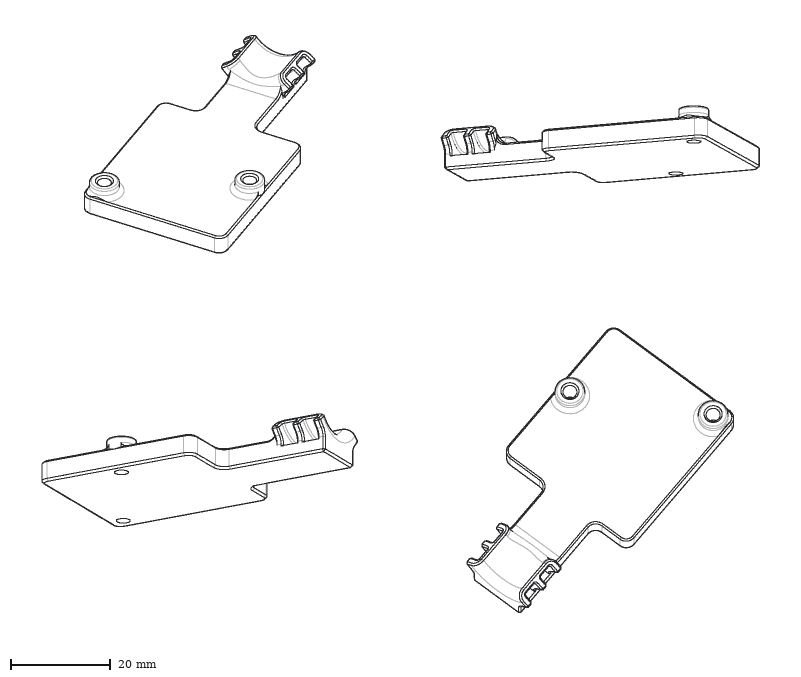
import cadquery as cq
import math

plate_width = 32.2
plate_length = 35.5
total_length = 59.5
plate_thickness = 4.4
corner_radius = 2.0
neck_width = 12.0
neck_center_x = -1.4
top_chamfer = 0.35
bottom_chamfer = 0.5

boss_places = [(3.5, 3.5), (29.15, 17.5)]
boss_diameter = 6.0
boss_top = 6.8
boss_top_fillet = 0.35
boss_flare = 0.95
hole_diameter = 2.8
hole_chamfer = 0.4

saddle_axis_z = 12.15
saddle_radius = 6.25
mouth_fillet = 2.0
arm_angle = 37.0
arm_face_rise = 0.25
rib_radius = 10.0
rib_width = 1.6
rib_foot_fillet = 2.25
arm_chamfer = 0.35
foot_fillet = 2.0
foot_overlap = 0.6
strap_gap = 3.2
strap_wall = 1.3
strap_floor = 2.75
strap_slot_fillet = 0.35

left = -plate_width / 2
front = -total_length / 2
back = total_length / 2
plate_back = front + plate_length
neck_left = neck_center_x - neck_width / 2
slot_count = 2
slot_pitch = rib_width + strap_gap
saddle_length = slot_count * slot_pitch + rib_width
saddle_front = back - saddle_length
strap_radius = saddle_radius + strap_wall
half_span = 2 * rib_radius
tolerance = 0.005


def block(x, y, z, width, length, height):
    """Box with its lowest corner at x, y, z."""
    return cq.Workplane("XY", origin=(x, y, z)).box(width, length, height, centered=False)


def saddle_cylinder(radius, start_y, length):
    """Round bar around the saddle axis."""
    plane = cq.Workplane("XZ", origin=(neck_center_x, start_y, saddle_axis_z))
    return plane.circle(radius).extrude(-length)


def same(a, b):
    return abs(a - b) < tolerance


def pick_edges(solid, test):
    """All edges of a solid that pass a test."""
    return solid.newObject([edge for edge in solid.edges().vals() if test(edge)])


def is_arc_across(edge, radii):
    """True for an arc in an XZ plane with one of the given radii."""
    flat = edge.BoundingBox().ylen < tolerance
    return edge.geomType() == "CIRCLE" and flat and any(same(edge.radius(), r) for r in radii)


def stepped_bar(start_x, start_y, width, end_y, top):
    """Bar at plate height that curves up to a step at the front of the saddle."""
    arc_mid = foot_fillet * (1 - math.sqrt(0.5))
    return (
        cq.Workplane("YZ", origin=(start_x, 0, 0))
        .moveTo(start_y, 0)
        .lineTo(start_y, plate_thickness)
        .lineTo(saddle_front - foot_fillet, plate_thickness)
        .threePointArc(
            (saddle_front - arc_mid, plate_thickness + arc_mid),
            (saddle_front, plate_thickness + foot_fillet),
        )
        .lineTo(saddle_front, top)
        .lineTo(end_y, top)
        .lineTo(end_y, 0)
        .close()
        .extrude(width)
    )


def rounded_plate(inset, base_z, height):
    """Plate outline, moved inward by the inset."""
    width = plate_width - 2 * inset
    length = plate_length - 2 * inset
    plate = block(left + inset, front + inset, base_z, width, length, height)
    return plate.edges("|Z").fillet(corner_radius - inset)


def make_plate_and_neck():
    step_top = plate_thickness + foot_fillet + top_chamfer
    neck = stepped_bar(neck_left, plate_back - corner_radius, neck_width, saddle_front + foot_overlap, step_top)
    body = rounded_plate(0, 0, plate_thickness).union(neck)

    def is_inner_corner(edge):
        center = edge.Center()
        on_neck_side = same(abs(center.x - neck_center_x), neck_width / 2)
        return on_neck_side and same(center.y, plate_back) and edge.BoundingBox().zlen > tolerance

    body = pick_edges(body, is_inner_corner).fillet(corner_radius)

    def is_top_rim(edge):
        center = edge.Center()
        on_top = same(center.z, plate_thickness) and center.y < saddle_front - foot_fillet - tolerance
        on_step = edge.geomType() == "CIRCLE" and edge.BoundingBox().xlen < tolerance
        return on_top or on_step

    return pick_edges(body, is_top_rim).chamfer(top_chamfer)


def make_strap_slot():
    """Slot for one strap, wrapped under the trough with a flat floor."""
    slot = saddle_cylinder(half_span, 0, strap_gap).cut(saddle_cylinder(strap_radius, 0, strap_gap))
    above_floor = block(neck_center_x - half_span, 0, strap_floor, 2 * half_span, strap_gap, 2 * half_span)
    slot = slot.intersect(above_floor)
    roof_edges = pick_edges(slot, lambda edge: is_arc_across(edge, [strap_radius]))
    return roof_edges.fillet(strap_slot_fillet)


def make_ribbed_bar():
    """Saddle body before the trough is cut: arms, ribs and strap slots."""
    apex_z = saddle_axis_z + arm_face_rise
    arm_drop = half_span * math.tan(math.radians(arm_angle))
    wedge = (
        cq.Workplane("XZ", origin=(neck_center_x, saddle_front, apex_z))
        .lineTo(half_span, -arm_drop)
        .lineTo(half_span, -2 * half_span)
        .lineTo(-half_span, -2 * half_span)
        .lineTo(-half_span, -arm_drop)
        .close()
        .extrude(-saddle_length)
    )
    bar = saddle_cylinder(rib_radius, saddle_front, saddle_length).intersect(wedge)
    bar = bar.union(block(neck_left, saddle_front, 0, neck_width, saddle_length, plate_thickness))

    def is_rib_foot(edge):
        center = edge.Center()
        on_side = same(abs(center.x - neck_center_x), neck_width / 2)
        return on_side and center.z > tolerance and edge.BoundingBox().ylen > tolerance

    bar = pick_edges(bar, is_rib_foot).fillet(rib_foot_fillet)
    slot = make_strap_slot()
    for index in range(slot_count):
        bar = bar.cut(slot.translate((0, saddle_front + rib_width + index * slot_pitch, 0)))

    def is_rib_rim(edge):
        box = edge.BoundingBox()
        on_side = box.xlen < tolerance and same(abs(edge.Center().x - neck_center_x), neck_width / 2)
        is_upright = box.ylen < tolerance
        return (on_side and is_upright) or is_arc_across(edge, [rib_radius, rib_foot_fillet])

    return pick_edges(bar, is_rib_rim).chamfer(arm_chamfer)


def make_trough():
    """Space to remove for the trough, flared at both ends by rounded edges."""
    start_y = saddle_front - 2 * foot_fillet
    start_x = neck_center_x - half_span
    top = saddle_axis_z
    solid = stepped_bar(start_x, start_y, 2 * half_span, back, top)
    solid = solid.cut(saddle_cylinder(saddle_radius, start_y, back - start_y))

    def is_mouth(edge):
        box = edge.BoundingBox()
        return box.xlen > tolerance and box.zlen > tolerance

    solid = pick_edges(solid, is_mouth).fillet(mouth_fillet)
    reach = saddle_radius + mouth_fillet
    trough_length = saddle_length + foot_fillet
    bottom = saddle_axis_z - reach
    space = block(
        neck_center_x - reach, back - trough_length, bottom, 2 * reach, trough_length, reach + arm_face_rise
    )
    return space.cut(solid)


def chamfer_arm_faces(body):
    """Chamfer every edge around the two sloping end faces of the arms."""
    slope = math.sin(math.radians(arm_angle))
    faces = [face for face in body.faces("%PLANE").vals() if same(abs(face.normalAt().x), slope)]
    return body.newObject([edge for face in faces for edge in face.Edges()]).chamfer(arm_chamfer)


def add_boss(body, x, y):
    base_z = plate_thickness - top_chamfer
    radius = boss_diameter / 2
    post = cq.Workplane("XY", origin=(x, y, base_z)).circle(radius).extrude(boss_top - base_z)
    post = post.faces(">Z").edges().fillet(boss_top_fillet)

    arc_mid = boss_flare * (1 - math.sqrt(0.5))
    flare = (
        cq.Workplane("XZ", origin=(x, y, plate_thickness))
        .lineTo(radius + boss_flare, 0)
        .threePointArc((radius + arc_mid, arc_mid), (radius, boss_flare))
        .lineTo(0, boss_flare)
        .close()
        .revolve(360, (0, 0, 0), (0, 1, 0))
    )
    flare = flare.intersect(rounded_plate(top_chamfer, plate_thickness, boss_flare))

    hole_radius = hole_diameter / 2
    hole = (
        cq.Workplane("XZ", origin=(x, y, 0))
        .lineTo(hole_radius, 0)
        .lineTo(hole_radius, boss_top - hole_chamfer)
        .lineTo(hole_radius + hole_chamfer, boss_top)
        .lineTo(0, boss_top)
        .close()
        .revolve(360, (0, 0, 0), (0, 1, 0))
    )
    return body.union(flare).union(post).cut(hole)


body = make_plate_and_neck().union(make_ribbed_bar()).cut(make_trough())
body = chamfer_arm_faces(body)
body = body.faces("<Z").edges().chamfer(bottom_chamfer)
for boss_x, boss_y in boss_places:
    body = add_boss(body, left + boss_x, front + boss_y)

result = body